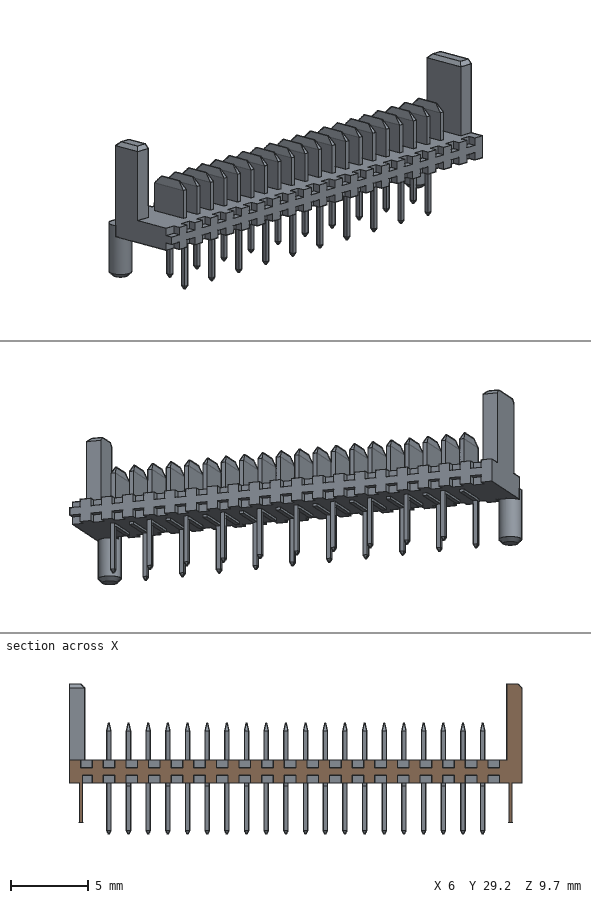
import cadquery as cq

length = 29.23
body_width = 5.0
body_height = 1.5

notch_count = 20
notch_depth = 0.5
notch_height = 0.5
notch_pitch = length / notch_count
notch_length = notch_pitch / 2

wall_top = 6.4
wall_thickness = 1.0
low_wall_width = 2.0
centre_wall_width = 3.0
wall_chamfer = 0.25

peg_diameter = 1.5
peg_overhang = 1.0
peg_top = 0.73
peg_bottom = -2.8
peg_chamfer = 0.25

contact_count = 20
contact_span = 24.15
contact_pitch = contact_span / (contact_count - 1)
contact_thickness = 0.3
blade_width = 2.57
blade_bottom = -0.18
blade_top = 3.9
blade_tip_height = 0.53
blade_tip_inset = 0.5
tip_thickness = 0.05
pin_offset = 1.25
pin_bottom = -3.3
pin_tip_height = 0.23

half_length = length / 2
half_width = body_width / 2


def block(x_min, x_max, y_min, y_max, z_min, z_max):
    """Box between the given limits."""
    size = (x_max - x_min, y_max - y_min, z_max - z_min)
    return cq.Workplane("XY").box(*size, centered=False).translate((x_min, y_min, z_min))


def taper(base_size, base_z, tip_size, tip_height):
    """Tapered tip on the Z axis; a negative height points it down."""
    return (
        cq.Workplane("XY").workplane(offset=base_z).rect(*base_size)
        .workplane(offset=tip_height).rect(*tip_size)
        .loft(combine=True)
    )


def notched_body():
    body = block(-half_width, half_width, -half_length, half_length, 0, body_height)
    levels = ((0, notch_height), (body_height - notch_height, body_height))
    for index in range(notch_count):
        y_min = -half_length + index * notch_pitch
        y_max = y_min + notch_length
        for z_min, z_max in levels:
            body = body.cut(block(half_width - notch_depth, half_width, y_min, y_max, z_min, z_max))
            if index > 0:
                body = body.cut(block(-half_width, notch_depth - half_width, y_min, y_max, z_min, z_max))
    return body


def end_wall(x_min, width, y_min):
    """Upright wall, chamfered on top along every edge but the +Y one."""
    wall = block(x_min, x_min + width, y_min, y_min + wall_thickness, body_height, wall_top)
    return wall.faces(">Z").edges("<X or >X or <Y").chamfer(wall_chamfer)


def locating_peg(y_centre):
    x_centre = -half_width - peg_overhang + peg_diameter / 2
    return (
        cq.Workplane("XY", origin=(x_centre, y_centre, peg_bottom))
        .circle(peg_diameter / 2).extrude(peg_top - peg_bottom)
        .faces("<Z").chamfer(peg_chamfer)
    )


def contact(pin_x):
    """Blade with a tapered top, and its pin at the given X, both on Y = 0."""
    half_blade = blade_width / 2
    half_thickness = contact_thickness / 2
    shoulder = blade_top - blade_tip_height
    blade = block(-half_blade, half_blade, -half_thickness, half_thickness, blade_bottom, shoulder)
    blade_ridge = (blade_width - 2 * blade_tip_inset, tip_thickness)
    blade_tip = taper((blade_width, contact_thickness), shoulder, blade_ridge, blade_tip_height)

    pin_square = (contact_thickness, contact_thickness)
    pin_shoulder = pin_bottom + pin_tip_height
    pin = block(-half_thickness, half_thickness, -half_thickness, half_thickness, pin_shoulder, body_height / 2)
    pin_tip = taper(pin_square, pin_shoulder, (tip_thickness, tip_thickness), -pin_tip_height)
    return blade.union(blade_tip).union(pin.union(pin_tip).translate((pin_x, 0, 0)))


result = notched_body()
result = result.union(end_wall(-half_width, low_wall_width, -half_length))
result = result.union(end_wall(-centre_wall_width / 2, centre_wall_width, half_length - wall_thickness))

for side in (-1, 1):
    result = result.union(locating_peg(side * (half_length - peg_diameter / 2)))

contact_kinds = (contact(pin_offset), contact(-pin_offset))
for index in range(contact_count):
    y_centre = -contact_span / 2 + index * contact_pitch
    result = result.union(contact_kinds[index % 2].translate((0, y_centre, 0)))